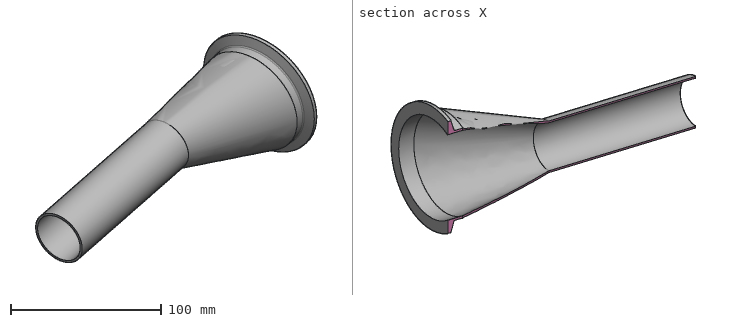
import cadquery as cq
import math

total_length = 203.2
flange_radius = 45.42
collar_radius = 38.2
tube_radius = 19.0
wall = 1.6
rim_thickness = 2.8
flange_taper = math.radians(20)
neck_fillet = 1.0
ferrule_length = 12.4
cone_length = 70.3

tube_start = ferrule_length + cone_length
tube_length = total_length - tube_start
tube_offset = collar_radius - tube_radius


def build_ferrule():
    """Clamp flange with a tapered front face and a short collar, bored through."""
    corner_depth = rim_thickness + (flange_radius - collar_radius) * math.tan(flange_taper)
    tangent_length = neck_fillet * math.tan((math.pi / 2 - flange_taper) / 2)
    fillet_end_depth = corner_depth + tangent_length
    fillet_start = (
        collar_radius + tangent_length * math.cos(flange_taper),
        -(corner_depth - tangent_length * math.sin(flange_taper)),
    )
    mid_angle = (math.pi / 2 - flange_taper) / 2
    fillet_middle = (
        collar_radius + neck_fillet * (1 - math.cos(mid_angle)),
        -fillet_end_depth + neck_fillet * math.sin(mid_angle),
    )
    bore_radius = collar_radius - wall
    return (
        cq.Workplane("XY")
        .moveTo(bore_radius, 0)
        .lineTo(flange_radius, 0)
        .lineTo(flange_radius, -rim_thickness)
        .lineTo(*fillet_start)
        .threePointArc(fillet_middle, (collar_radius, -fillet_end_depth))
        .lineTo(collar_radius, -ferrule_length)
        .lineTo(bore_radius, -ferrule_length)
        .close()
        .revolve(360, (0, 0, 0), (0, 1, 0))
    )


def eccentric_funnel(inset):
    """Solid oblique cone with a tube, its radii reduced by inset."""
    cone = (
        cq.Workplane("XZ", origin=(0, -ferrule_length, 0))
        .circle(collar_radius - inset)
        .workplane(offset=cone_length)
        .center(-tube_offset, 0)
        .circle(tube_radius - inset)
        .loft(ruled=True)
    )
    tube = (
        cq.Workplane("XZ", origin=(-tube_offset, -tube_start, 0))
        .circle(tube_radius - inset)
        .extrude(tube_length)
    )
    return cone.union(tube)


def build_reducer():
    """Hollow eccentric reducer ending in a long outlet tube."""
    return eccentric_funnel(0).cut(eccentric_funnel(wall))


ferrule = build_ferrule()
reducer = build_reducer()

result = cq.Compound.makeCompound([ferrule.val(), reducer.solids().val()])